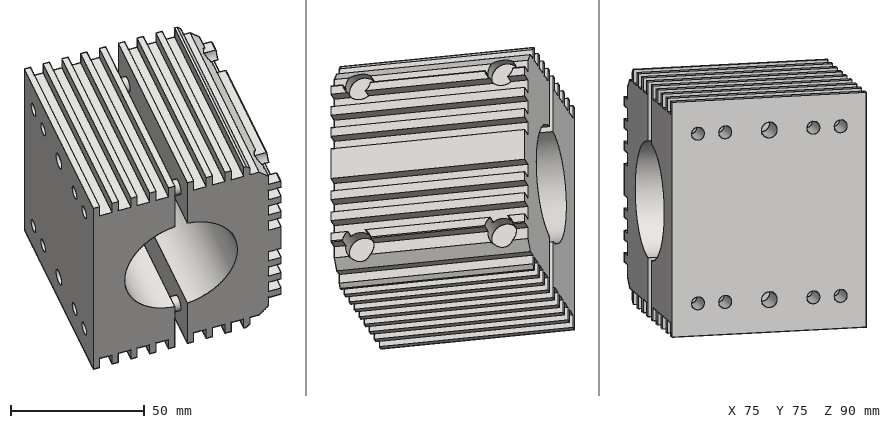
import cadquery as cq

length_x = 75.0
height_z = 90
front_y = -35.0
back_y = 40.0
bore_diameter = 45
clamp_gap = 5.0

fin_height = 5.0
fin_thickness = 2.5
front_fin_count = 5
back_fin_count = 4
end_fin_chamfer = 1.5

back_rib_half_width = 6.0
back_fin_thickness = 3.5
back_fin_gap = 5.0
back_fins_per_side = 3
back_fin_tip_chamfer = 0.4
body_chamfer = 3.8

row_z = 32.5
screw_x = 27.5
screw_diameter = 6.0
screw_embed = 4.5
counterbore_diameter = 11.0
counterbore_depth = 10.8
small_hole_diameter = 4.95
small_hole_x = (17.0, screw_x)
centre_hole_diameter = 6.0
mounting_hole_depth = 11.7

half_gap = clamp_gap / 2
body_half_height = height_z / 2 - fin_height
body_back_y = back_y - fin_height
fin_pitch = (-front_y - half_gap - fin_thickness) / (front_fin_count - 1)
back_fin_pitch = back_fin_thickness + back_fin_gap


def block(y_min, y_max, z_min, z_max):
    """Box spanning the full X length between the given Y and Z limits."""
    return cq.Workplane("XY").box(length_x, y_max - y_min, z_max - z_min).translate(
        (0, (y_min + y_max) / 2, (z_min + z_max) / 2)
    )


def cylinder_along_y(x, z, diameter, y_start, y_end):
    """Round bar parallel to Y between two Y positions."""
    return cq.Workplane(
        cq.Solid.makeCylinder(
            diameter / 2, y_end - y_start, cq.Vector(x, y_start, z), cq.Vector(0, 1, 0)
        )
    )


def fin_across_height(y_min):
    """Plate over the full height that leaves a fin on both the top and the bottom."""
    return block(y_min, y_min + fin_thickness, -height_z / 2, height_z / 2)


def front_half():
    """Mounting half: plain front face, fins above and below."""
    half = block(front_y, -half_gap, -body_half_height, body_half_height)
    for i in range(front_fin_count):
        half = half.union(fin_across_height(front_y + i * fin_pitch))
    return half


def back_half():
    """Cap half: fins above, below and on the back, with bevelled corners."""
    half = block(half_gap, body_back_y, -body_half_height, body_half_height)
    half = half.edges("|X and >Y").chamfer(body_chamfer)

    for i in range(back_fin_count):
        fin = fin_across_height(half_gap + i * fin_pitch)
        if i == back_fin_count - 1:
            fin = fin.edges("|X and >Y").chamfer(end_fin_chamfer)
        half = half.union(fin)

    half = half.union(block(half_gap, back_y, -back_rib_half_width, back_rib_half_width))
    for i in range(back_fins_per_side):
        z_min = back_rib_half_width + back_fin_gap + i * back_fin_pitch
        fin = block(half_gap, back_y, z_min, z_min + back_fin_thickness)
        if i == back_fins_per_side - 1:
            fin = fin.edges("|X and >Y and >Z").chamfer(back_fin_tip_chamfer)
        half = half.union(fin).union(fin.mirror("XY"))
    return half


bore = cq.Workplane("YZ", origin=(-length_x / 2, 0, 0)).circle(bore_diameter / 2).extrude(length_x)
result = front_half().union(back_half()).cut(bore)

for x in (-screw_x, screw_x):
    for z in (-row_z, row_z):
        shank = cylinder_along_y(x, z, screw_diameter, -half_gap - screw_embed, half_gap + screw_embed)
        pocket = cylinder_along_y(x, z, counterbore_diameter, back_y - counterbore_depth, back_y)
        result = result.union(shank).cut(pocket)

mounting_holes = [(0, centre_hole_diameter)]
for x in small_hole_x:
    mounting_holes += [(-x, small_hole_diameter), (x, small_hole_diameter)]
for x, diameter in mounting_holes:
    for z in (-row_z, row_z):
        hole = cylinder_along_y(x, z, diameter, front_y, front_y + mounting_hole_depth)
        result = result.cut(hole)